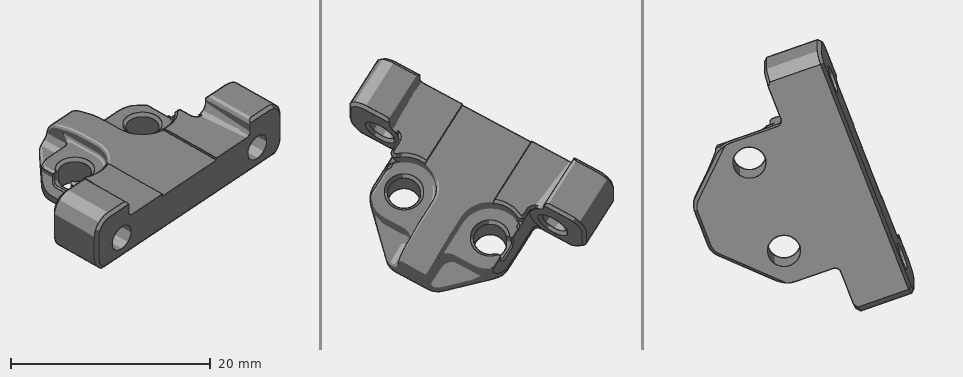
import cadquery as cq
import math

length = 17.6
width = 27.4
height = 6.5
edge_bevel = 0.33
far = 27.4

ear_front_x = 11.54
ear_inner_y = 8.93
ear_corner_radius = 2.0
ear_lower_tangent_z = 1.8
ear_inner_top_radius = 0.5
ear_hole_y = 10.0
ear_hole_z = 2.507
ear_hole_diameter = 2.8
ear_root_radius_front = 1.05
ear_root_radius_back = 0.5

plate_half_width = 8.03
shoulder_z = 4.6
saddle_z = 4.33
saddle_half_width = 4.0
side_corner_radius = 3.0
ear_blend_radius = 0.6
clearance_radius = 2.69
shoulder_outer_y = 8.1
shoulder_end_radius = 0.5
shoulder_draft = math.radians(10)
shoulder_foot_y = ear_hole_y - clearance_radius * math.cos(shoulder_draft)
shoulder_foot_z = ear_hole_z + clearance_radius * math.sin(shoulder_draft)

nose_y = -0.4
screw_x = 7.0
screw_offset = 5.0
screw_diameter = 3.3
pad_z = 2.95
pad_outer_radius = 3.42
slant_distance = 3.32
pad_wall_radius = 3.23
rim_radius = 0.3
ridge_half_width = screw_offset - pad_wall_radius
ledge_z = 1.2
ledge_root_radius = 1.0
ledge_corner_radius = 1.18
nose_corner_radius = 2.0
slant_half_width = slant_distance * math.sqrt(2) + screw_offset - screw_x

ridge_slope = math.radians(15)
ridge_nose_radius = 2.0
ridge_crest_radius = 10.0
ridge_crest_x = 5.05

slot_width = 2.22
slot_floor_z = 1.62
slot_corner_radius = 0.5
slot_bevel = 0.15


def box(x_range, y_range, z_range):
    """Box between two limits along each axis."""
    (x0, x1), (y0, y1), (z0, z1) = x_range, y_range, z_range
    return cq.Workplane("XY").box(x1 - x0, y1 - y0, z1 - z0, centered=False).translate((x0, y0, z0))


def in_box(x_range, y_range, z_range):
    """Selector for edges whose middle lies between two limits along each axis."""
    low, high = zip(x_range, y_range, z_range)
    return cq.selectors.BoxSelector(low, high)


def both_sides(tool, middle_y=0):
    """A tool made for the middle plane Y = 0 and its mirror image, moved to another middle plane."""
    return [half.translate((0, middle_y, 0)) for half in (tool, tool.mirror("XZ"))]


def hinge_clearance():
    """Cylinder kept clear around the +Y hinge axis, in front of the ear."""
    return cq.Workplane("YZ").center(ear_hole_y, ear_hole_z).circle(clearance_radius).extrude(ear_front_x)


def shoulder_side_waste():
    """Waste beside the leaning side of the +Y shoulder, rounded towards the ear."""
    rise = height - shoulder_foot_z
    waste = (
        cq.Workplane("YZ")
        .moveTo(shoulder_foot_y, shoulder_foot_z)
        .lineTo(shoulder_foot_y + rise * math.tan(shoulder_draft), height)
        .lineTo(far, height)
        .lineTo(far, shoulder_foot_z)
        .close()
        .extrude(ear_front_x)
    )
    return waste.faces("<Y").edges(">X").fillet(ear_blend_radius)


def plate_blank():
    """Plate up to the shoulders, with rounded corners, bevelled nose underside and leaning shoulder sides."""
    left_corner_x = plate_half_width - nose_y - slant_half_width
    right_corner_x = plate_half_width + nose_y - slant_half_width
    blank = (
        cq.Workplane("XY")
        .moveTo(0, nose_y - slant_half_width)
        .lineTo(right_corner_x, -plate_half_width)
        .lineTo(ear_front_x, -plate_half_width)
        .lineTo(ear_front_x, -ear_hole_y)
        .lineTo(length, -ear_hole_y)
        .lineTo(length, ear_hole_y)
        .lineTo(ear_front_x, ear_hole_y)
        .lineTo(ear_front_x, plate_half_width)
        .lineTo(left_corner_x, plate_half_width)
        .lineTo(0, nose_y + slant_half_width)
        .close()
        .extrude(shoulder_z)
    )
    everywhere = (-far, far)
    blank = blank.edges("|Z").edges(in_box((-0.27, 0.27), everywhere, everywhere)).fillet(nose_corner_radius)
    blank = blank.faces("<Z").edges(in_box((-0.27, left_corner_x - 0.27), everywhere, everywhere)).chamfer(edge_bevel)
    side_corners = in_box((right_corner_x - 0.27, left_corner_x + 0.27), everywhere, everywhere)
    blank = blank.edges("|Z").edges(side_corners).fillet(side_corner_radius)
    ear_corners = in_box((ear_front_x - 0.27, ear_front_x + 0.27), (-plate_half_width - 0.27, plate_half_width + 0.27), everywhere)
    blank = blank.edges("|Z").edges(ear_corners).fillet(ear_blend_radius)
    for tool in both_sides(shoulder_side_waste()):
        blank = blank.cut(tool)
    return blank


def ridge_envelope():
    """Side profile of the ridge: upright nose, round brow, slope and shallow crest."""
    sin_slope, cos_slope = math.sin(ridge_slope), math.cos(ridge_slope)
    slope_end_x = ridge_crest_x - ridge_crest_radius * sin_slope
    slope_end_z = saddle_z - ridge_crest_radius * (1 - cos_slope)
    brow_x = ridge_nose_radius * (1 - sin_slope)
    brow_z = slope_end_z - (slope_end_x - brow_x) * math.tan(ridge_slope)
    nose_z = brow_z - ridge_nose_radius * cos_slope
    return (
        cq.Workplane("XZ", origin=(0, far, 0))
        .moveTo(0, 0)
        .lineTo(0, nose_z)
        .tangentArcPoint((brow_x, brow_z), relative=False)
        .lineTo(slope_end_x, slope_end_z)
        .tangentArcPoint((ridge_crest_x, saddle_z), relative=False)
        .lineTo(ridge_crest_x, shoulder_z)
        .lineTo(length, shoulder_z)
        .lineTo(length, 0)
        .close()
        .extrude(2 * far)
    )


def pad_plan(floor_z):
    """Space over the plan of the +Y screw pad, up from floor_z, centred on the nose."""
    return (
        cq.Workplane("XY", origin=(0, 0, floor_z))
        .moveTo(-far, ridge_half_width)
        .lineTo(screw_x, ridge_half_width)
        .threePointArc((screw_x + pad_wall_radius, screw_offset),
                       (screw_x, screw_offset + pad_wall_radius))
        .lineTo(-far, screw_offset + pad_wall_radius)
        .close()
        .extrude(height)
    )


def pad_cutter():
    """Space above the +Y screw pad, rounded where the wall meets the pad."""
    wall_foot = in_box((-far, far), (0, screw_offset + 0.27), (pad_z - 0.03, pad_z + 0.03))
    return pad_plan(pad_z).edges(wall_foot).edges("not <X").fillet(rim_radius)


def ledge_cutter():
    """Space above the +Y nose ledge, rounded at its foot and centred on the nose."""
    wall_x = screw_x - pad_outer_radius
    reach = pad_outer_radius / math.sqrt(2)
    clear = 1.37
    cutter = (
        cq.Workplane("XY", origin=(0, 0, ledge_z))
        .moveTo(-far, ridge_half_width)
        .lineTo(wall_x, ridge_half_width)
        .lineTo(wall_x, screw_offset)
        .tangentArcPoint((screw_x - reach, screw_offset + reach), relative=False)
        .lineTo(screw_x - reach - clear, screw_offset + reach + clear)
        .lineTo(-far, screw_offset + reach + clear)
        .close()
        .extrude(height)
    )
    inner_corner = in_box((wall_x - 0.27, wall_x + 0.27), (0, ridge_half_width + 0.27), (0, far))
    cutter = cutter.edges("|Z").edges(inner_corner).fillet(ledge_corner_radius)
    foot = in_box((-far, far), (0, screw_offset + reach - 0.27), (ledge_z - 0.03, ledge_z + 0.03))
    return cutter.edges(foot).edges("not <X").fillet(ledge_root_radius)


def ear():
    """The +Y ear with bevelled ends."""
    diagonal = ear_corner_radius / math.sqrt(2)
    outer = width / 2
    slant_y = outer - ear_corner_radius + diagonal
    slant_z = ear_lower_tangent_z - diagonal
    block = (
        cq.Workplane("YZ", origin=(ear_front_x, 0, 0))
        .moveTo(ear_inner_y, 0)
        .lineTo(slant_y - slant_z, 0)
        .lineTo(slant_y, slant_z)
        .tangentArcPoint((outer, ear_lower_tangent_z), relative=False)
        .lineTo(outer, height - ear_corner_radius)
        .tangentArcPoint((outer - ear_corner_radius, height), relative=False)
        .lineTo(ear_inner_y, height)
        .close()
        .extrude(length - ear_front_x)
    )
    rim = in_box((-far, far), (ear_inner_y + 0.03, far), (0.03, far))
    block = block.faces("<X or >X").edges(rim).chamfer(edge_bevel)
    block = block.edges("|X").edges(in_box((0, far), (ear_inner_y - 0.03, ear_inner_y + 0.03), (height - 0.27, far)))
    return block.fillet(ear_inner_top_radius)


def ear_root():
    """Hollow blend between the shoulder and the +Y ear, tightening towards the back."""
    sections = []
    for x, radius in ((ear_front_x, ear_root_radius_front), (length, ear_root_radius_back)):
        arc_inset = radius * (1 - math.sqrt(0.5))
        corner = cq.Vector(x, ear_inner_y, shoulder_z)
        foot = corner + cq.Vector(0, -radius, 0)
        middle = corner + cq.Vector(0, -arc_inset, arc_inset)
        head = corner + cq.Vector(0, 0, radius)
        edges = [
            cq.Edge.makeLine(corner, foot),
            cq.Edge.makeThreePointArc(foot, middle, head),
            cq.Edge.makeLine(head, corner),
        ]
        sections.append(cq.Wire.assembleEdges(edges))
    return cq.Workplane(cq.Solid.makeLoft(sections, True))


def carved_plate():
    """Plate with the ridge, screw pads and nose ledges carved out, before its edges are rounded."""
    plate = plate_blank().intersect(ridge_envelope())
    for tool in both_sides(pad_cutter(), nose_y) + both_sides(ledge_cutter(), nose_y):
        plate = plate.cut(tool)
    return plate


def saddle_plate(carved):
    """Plate at the saddle level, with rounded ridge, ledge and pad edges."""
    plate = carved.cut(box((0, length), (-shoulder_outer_y, shoulder_outer_y), (saddle_z, height)))
    for tool in both_sides(hinge_clearance()):
        plate = plate.cut(tool)
    for side in (-1, 1):
        ridge_y = nose_y + side * ridge_half_width
        seed = in_box((ridge_crest_x, screw_x), (ridge_y - 0.03, ridge_y + 0.03), (saddle_z - 0.03, saddle_z + 0.03))
        plate = plate.edges(seed).fillet(rim_radius)
    pad_front = in_box((3.01, 4.7), (-7.12, 7.12), (pad_z - 0.005, pad_z + 0.005))
    return plate.edges(pad_front).fillet(rim_radius)


def shoulder_space():
    """The space of the +Y shoulder, above the foot of the pad wall."""
    return box((screw_x, length), (saddle_half_width, shoulder_outer_y), (pad_z + rim_radius, shoulder_z))


def shoulder(carved, space):
    """Raised strip between the saddle and one ear, with its wall end rounded and its top edge bevelled."""
    strip = carved.intersect(space)
    middle_z = (pad_z + shoulder_z) / 2
    wall_end = in_box((screw_x, ear_front_x - 0.82), (-far, far), (middle_z - 0.27, middle_z + 0.27))
    inner_end = in_box((-far, far), (-saddle_half_width - 0.27, saddle_half_width + 0.27), (-far, far))
    strip = strip.edges(wall_end - inner_end).fillet(shoulder_end_radius)
    top = in_box((screw_x, ear_front_x - 0.03), (-far, far), (shoulder_z - 0.03, shoulder_z + 0.03))
    return strip.edges(top).chamfer(rim_radius)


def pad_side_waste():
    """Waste outside the rounded side edge of the +Y pad."""
    y = shoulder_foot_y - rim_radius
    z = pad_z - rim_radius
    square = box((0, ear_front_x), (y, ear_hole_y), (z, pad_z))
    return square.cut(cq.Workplane("YZ").center(y, z).circle(rim_radius).extrude(ear_front_x))


def beveled_hole(plane, radius, reach):
    """Round hole along a plane's normal, widened by a cone that starts on the plane."""
    hole = cq.Workplane(plane).circle(radius).extrude(reach)
    cone = cq.Workplane(plane).circle(radius + edge_bevel).extrude(edge_bevel, taper=45)
    return hole.union(cone)


def screw_hole():
    """Through hole of the +Y pad with a bevelled top, centred on the nose."""
    plane = cq.Plane((screw_x, screw_offset, pad_z), (1, 0, 0), (0, 0, -1))
    return beveled_hole(plane, screw_diameter / 2, pad_z)


def ear_hole():
    """Through hole of the +Y ear with a bevelled front."""
    plane = cq.Plane((ear_front_x, ear_hole_y, ear_hole_z), (0, 1, 0), (1, 0, 0))
    return beveled_hole(plane, ear_hole_diameter / 2, length - ear_front_x)


def side_slot(part):
    """Open the -Y screw hole through the side of its pad, and bevel the mouth."""
    half = slot_width / 2
    hole_y = nose_y - screw_offset
    slot = box((screw_x - half, screw_x + half), (-ear_hole_y, hole_y), (slot_floor_z, height))
    slot = slot.edges("|Y and <Z").fillet(slot_corner_radius)
    mouth = in_box((screw_x - half - 0.03, screw_x + half + 0.03), (-7.67, -7.12), (slot_floor_z - 0.03, pad_z - rim_radius))
    return part.cut(slot).edges(mouth).chamfer(slot_bevel)


carved = carved_plate()
result = saddle_plate(carved)
for space in both_sides(shoulder_space()):
    result = result.cut(space).union(shoulder(carved, space))
for tool in both_sides(hinge_clearance()):
    result = result.cut(tool)
for waste, pad in zip(both_sides(pad_side_waste()), both_sides(pad_plan(pad_z - 2 * rim_radius), nose_y)):
    result = result.cut(waste.intersect(pad))
for solid in both_sides(ear().union(ear_root())):
    result = result.union(solid)
for hole in both_sides(screw_hole(), nose_y) + both_sides(ear_hole()):
    result = result.cut(hole)
result = side_slot(result)
result = result.faces(">X").edges("<Z").chamfer(edge_bevel)